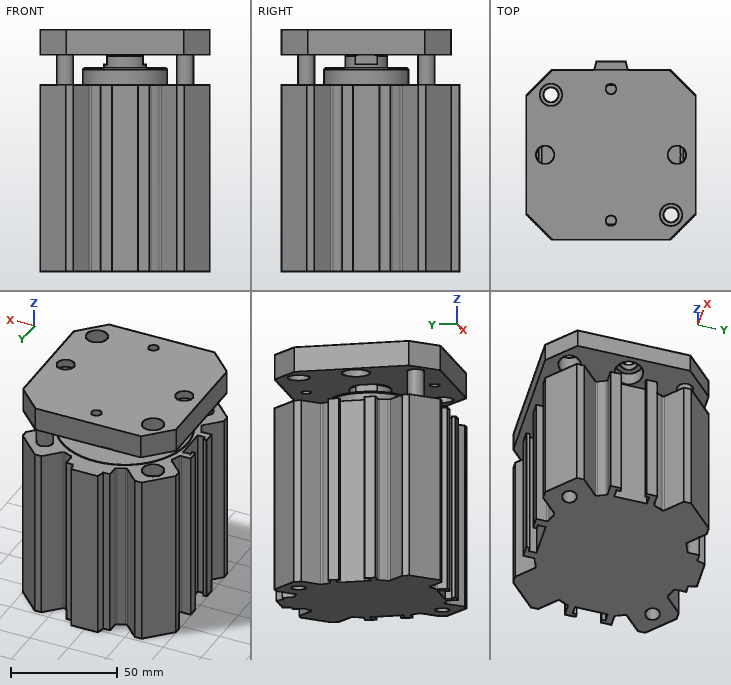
import cadquery as cq
import math

WIDTH = 80.0
HEIGHT = 114.0
HALF = WIDTH / 2
PLATE_THICKNESS = 12.0
STROKE_GAP = 14.0
PLATE_BOTTOM = HEIGHT - PLATE_THICKNESS
HOUSING_HEIGHT = PLATE_BOTTOM - STROKE_GAP

CORNER_CHAMFER = 12.1
LEG_INNER = 24.4
WALL_RADIUS = 36.0
RIB_OUTER = 11.4
RIB_TOP = 39.8
GROOVE_FILLET = 1.0
SLOT_FLOOR = 34.2
SLOT_HALF_WIDTH = 8.0
SLOT_HALF_OPENING = 6.0
LIP_THICKNESS = 1.8
LIP_CHAMFER = 0.2

RIDGE_BASE_WIDTH = 15.8
RIDGE_TOP_WIDTH = 13.9
RIDGE_HEIGHT = 4.0

CAP_DIAMETER = 65.5
CAP_RECESS = 0.3
COLLAR_DIAMETER = 40.0
COLLAR_HEIGHT = 8.0
COLLAR_CHAMFER = 0.9
COLLAR_TOP = HOUSING_HEIGHT + COLLAR_HEIGHT

CORNER_OFFSET = 28.3
GUIDE_ROD_DIAMETER = 8.0
ACCESS_DIAMETER = 10.5
MOUNT_DIAMETER = 7.0
MOUNT_HEAD_DEPTH = 6.4
MOUNT_POINTS = [(-CORNER_OFFSET, CORNER_OFFSET), (CORNER_OFFSET, -CORNER_OFFSET)]
GUIDE_POINTS = [(-CORNER_OFFSET, -CORNER_OFFSET), (CORNER_OFFSET, CORNER_OFFSET)]

PLATE_CHAMFER = 12.4
EDGE_HOLE_OFFSET = 31.0
SCREW_DIAMETER = 8.5
SCREW_HEAD_DIAMETER = 13.5
SCREW_HEAD_DEPTH = 8.0
DOWEL_DIAMETER = 4.9
ROD_DIAMETER = 20.0
ROD_FLATS = 17.0
ROD_FLAT_LENGTH = 4.5
ROD_TOP_CHAMFER = 0.6


def chamfered_square(height, chamfer):
    """Square block with its four upright edges chamfered."""
    block = cq.Workplane("XY").rect(WIDTH, WIDTH).extrude(height)
    return block.edges("|Z").chamfer(chamfer)


def side_groove():
    """Open groove between the left leg and the left rib of the -Y side."""
    diagonal = HALF - LEG_INNER
    flank_x = (diagonal - math.sqrt(2 * WALL_RADIUS**2 - diagonal**2)) / 2
    flank_y = flank_x - diagonal
    rib_y = -math.sqrt(WALL_RADIUS**2 - RIB_OUTER**2)
    middle_angle = (math.atan2(flank_y, flank_x) + math.atan2(rib_y, -RIB_OUTER)) / 2
    middle = (WALL_RADIUS * math.cos(middle_angle), WALL_RADIUS * math.sin(middle_angle))
    groove = (
        cq.Workplane("XY")
        .moveTo(-LEG_INNER, -HALF)
        .lineTo(flank_x, flank_y)
        .threePointArc(middle, (-RIB_OUTER, rib_y))
        .lineTo(-RIB_OUTER, -HALF)
        .close()
        .extrude(HOUSING_HEIGHT)
    )
    return groove.edges("|Z").edges("not <Y").fillet(GROOVE_FILLET)


def t_slot():
    """T-slot in the middle of the -Y side, together with the relief above its two ribs."""
    lip_bottom = RIB_TOP - LIP_THICKNESS
    half_outline = [
        (0, -SLOT_FLOOR),
        (SLOT_HALF_WIDTH, -SLOT_FLOOR),
        (SLOT_HALF_WIDTH, -lip_bottom),
        (SLOT_HALF_OPENING, -lip_bottom),
        (SLOT_HALF_OPENING, LIP_CHAMFER - RIB_TOP),
        (SLOT_HALF_OPENING + LIP_CHAMFER, -RIB_TOP),
        (RIB_OUTER, -RIB_TOP),
        (RIB_OUTER, -HALF),
        (0, -HALF),
    ]
    half_slot = cq.Workplane("XY").polyline(half_outline).close().extrude(HOUSING_HEIGHT)
    return half_slot.union(half_slot.mirror("YZ"))


def ridge():
    """Tapered full-height ridge on the +Y side."""
    return (
        cq.Workplane("XY")
        .moveTo(-RIDGE_BASE_WIDTH / 2, HALF)
        .lineTo(-RIDGE_TOP_WIDTH / 2, HALF + RIDGE_HEIGHT)
        .lineTo(RIDGE_TOP_WIDTH / 2, HALF + RIDGE_HEIGHT)
        .lineTo(RIDGE_BASE_WIDTH / 2, HALF)
        .close()
        .extrude(HOUSING_HEIGHT)
    )


def make_housing():
    """Grooved cylinder housing with its bearing collar."""
    body = chamfered_square(HOUSING_HEIGHT, CORNER_CHAMFER)
    left_groove = side_groove()
    right_groove = left_groove.mirror("YZ")
    slot = t_slot()
    for quarter in range(4):
        angle = 90 * quarter
        body = body.cut(left_groove.rotate((0, 0, 0), (0, 0, 1), angle))
        body = body.cut(right_groove.rotate((0, 0, 0), (0, 0, 1), angle))
        if angle != 180:
            body = body.cut(slot.rotate((0, 0, 0), (0, 0, 1), angle))
    body = body.union(ridge())

    top = cq.Workplane("XY", origin=(0, 0, HOUSING_HEIGHT))
    body = body.cut(top.circle(CAP_DIAMETER / 2).extrude(-CAP_RECESS))
    collar = (
        top.workplane(offset=-CAP_RECESS)
        .circle(COLLAR_DIAMETER / 2)
        .extrude(CAP_RECESS + COLLAR_HEIGHT)
        .faces(">Z")
        .chamfer(COLLAR_CHAMFER)
    )
    body = body.union(collar)

    mount_holes = top.pushPoints(MOUNT_POINTS).circle(MOUNT_DIAMETER / 2).extrude(-HOUSING_HEIGHT)
    head_recesses = top.pushPoints(MOUNT_POINTS).circle(ACCESS_DIAMETER / 2).extrude(-MOUNT_HEAD_DEPTH)
    return body.cut(mount_holes).cut(head_recesses)


def make_piston_rod():
    """Piston rod from the collar to the plate, with two wrench flats."""
    rod = (
        cq.Workplane("XY", origin=(0, 0, COLLAR_TOP))
        .circle(ROD_DIAMETER / 2)
        .extrude(PLATE_BOTTOM - COLLAR_TOP)
        .faces(">Z")
        .chamfer(ROD_TOP_CHAMFER)
    )
    flat_depth = (ROD_DIAMETER - ROD_FLATS) / 2
    for side in (-1, 1):
        flat_cut = cq.Workplane("XY").box(
            flat_depth, ROD_DIAMETER, ROD_FLAT_LENGTH, centered=(True, True, False)
        )
        flat_x = side * (ROD_FLATS + flat_depth) / 2
        rod = rod.cut(flat_cut.translate((flat_x, 0, PLATE_BOTTOM - ROD_FLAT_LENGTH)))
    return rod


def make_yoke():
    """Yoke plate with the piston rod and the guide rods."""
    plate = chamfered_square(PLATE_THICKNESS, PLATE_CHAMFER)
    screw_points = [(-EDGE_HOLE_OFFSET, 0), (EDGE_HOLE_OFFSET, 0)]
    dowel_points = [(0, -EDGE_HOLE_OFFSET), (0, EDGE_HOLE_OFFSET)]
    holes = [
        (ACCESS_DIAMETER, PLATE_THICKNESS, MOUNT_POINTS),
        (SCREW_DIAMETER, PLATE_THICKNESS, screw_points),
        (SCREW_HEAD_DIAMETER, SCREW_HEAD_DEPTH, screw_points),
        (DOWEL_DIAMETER, PLATE_THICKNESS, dowel_points),
    ]
    for diameter, depth, points in holes:
        plate = plate.cut(cq.Workplane("XY").pushPoints(points).circle(diameter / 2).extrude(depth))
    plate = plate.translate((0, 0, PLATE_BOTTOM))
    guide_rods = (
        cq.Workplane("XY", origin=(0, 0, HOUSING_HEIGHT))
        .pushPoints(GUIDE_POINTS)
        .circle(GUIDE_ROD_DIAMETER / 2)
        .extrude(STROKE_GAP)
    )
    return plate.union(make_piston_rod()).union(guide_rods)


housing = make_housing()
yoke = make_yoke()
result = cq.Compound.makeCompound([housing.val(), yoke.val()])